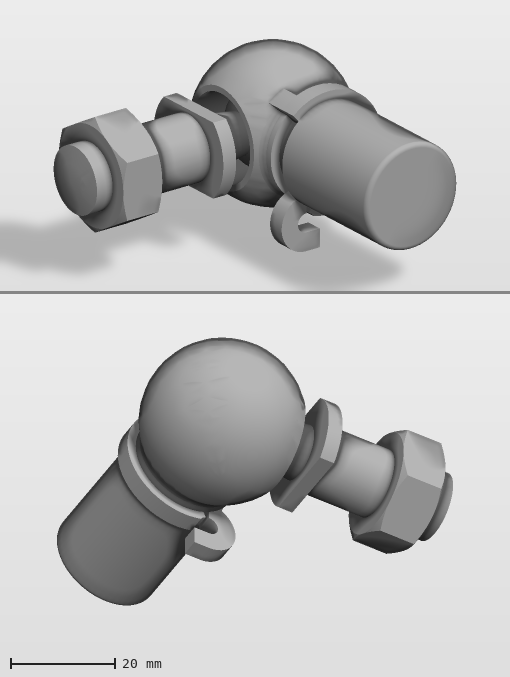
import cadquery as cq
import math

housing_radius = 16.15
mouth_y = -12.25
mouth_bore_radius = 9.3
ball_radius = 19.0 / 2
shank_radius = 22.0 / 2
shank_end_x = 44.95
shank_end_round = 0.95
neck_fillet = 2.25

groove_radius = 8.9
clip_start_x = 14.25
clip_width = 3.7
clip_radius = 12.8
clip_end_angle = 130.5
tab_start_angle = 112.0
tab_start_x = 9.9
eye_outer_radius = 5.9
eye_inner_radius = eye_outer_radius - (clip_radius - groove_radius)
eye_front_y = -11.15
eye_bottom_z = -19.2
eye_leg_end_y = -2.05

stud_radius = 14.0 / 2
stud_neck_radius = 5.7
stud_neck_taper = 0.145
flange_y = -17.0
flange_thickness = 3.1
flange_radius = 11.2
flange_flats = 15.85
stud_shoulder_y = -47.1
stud_tip_y = -48.0

nut_y = -34.05
nut_thickness = 9.3
nut_flats = 20.9
nut_chamfer_angle = 30.0


def cylinder_along_y(radius, start_y, length):
    """Solid cylinder running from start_y toward -Y."""
    return cq.Workplane("XZ", origin=(0, start_y, 0)).circle(radius).extrude(length)


def ring_sector(start_x, length, start_angle, end_angle):
    """Part of the clip's ring between two angles in degrees, extruded along +X."""
    def polar(radius, angle):
        angle = math.radians(angle)
        return radius * math.cos(angle), radius * math.sin(angle)

    middle_angle = (start_angle + end_angle) / 2
    return (
        cq.Workplane("YZ", origin=(start_x, 0, 0))
        .moveTo(*polar(clip_radius, start_angle))
        .threePointArc(polar(clip_radius, middle_angle), polar(clip_radius, end_angle))
        .lineTo(*polar(groove_radius, end_angle))
        .threePointArc(polar(groove_radius, middle_angle), polar(groove_radius, start_angle))
        .close()
        .extrude(length)
    )


def make_housing():
    shank = cq.Workplane("YZ").circle(shank_radius).extrude(shank_end_x)
    shank = shank.faces(">X").edges().fillet(shank_end_round)
    body = cq.Workplane("XY").sphere(housing_radius).union(shank)
    junction_x = math.sqrt(housing_radius**2 - shank_radius**2)
    near_junction = cq.selectors.BoxSelector(
        (junction_x - 0.65, -housing_radius, -housing_radius),
        (junction_x + 0.65, housing_radius, housing_radius),
    )
    body = body.edges(near_junction).edges("%CIRCLE").fillet(neck_fillet)

    beyond_mouth = cylinder_along_y(housing_radius, mouth_y, housing_radius)
    ball = cq.Workplane("XY").sphere(ball_radius)
    socket = cylinder_along_y(mouth_bore_radius, 0, -mouth_y).cut(ball)
    groove = (
        cq.Workplane("YZ", origin=(clip_start_x, 0, 0))
        .circle(clip_radius)
        .circle(groove_radius)
        .extrude(clip_width)
    )
    return body.cut(beyond_mouth).cut(socket).cut(groove)


def make_clip():
    eye_y = eye_front_y + eye_outer_radius
    eye_z = eye_bottom_z + eye_outer_radius
    eye_angle = math.degrees(math.atan2(eye_z, eye_y))

    clip_plane = cq.Workplane("YZ", origin=(clip_start_x, 0, 0))
    band = ring_sector(clip_start_x, clip_width, eye_angle, clip_end_angle)
    eye = (
        clip_plane.moveTo(eye_y, eye_z + eye_outer_radius)
        .threePointArc((eye_front_y, eye_z), (eye_y, eye_bottom_z))
        .lineTo(eye_leg_end_y, eye_bottom_z)
        .lineTo(eye_leg_end_y, eye_z - eye_inner_radius)
        .lineTo(eye_y, eye_z - eye_inner_radius)
        .close()
        .extrude(clip_width)
    )
    eye_hole = clip_plane.center(eye_y, eye_z).circle(eye_inner_radius).extrude(clip_width)
    tab = ring_sector(tab_start_x, clip_start_x - tab_start_x, tab_start_angle, clip_end_angle)
    return band.union(eye).cut(eye_hole).union(tab)


def make_stud():
    root_radius = stud_neck_radius + stud_neck_taper * flange_y
    dome_height = stud_shoulder_y - stud_tip_y
    dome_radius = (stud_radius**2 + dome_height**2) / (2 * dome_height)
    dome_mid_x = stud_radius / 2
    dome_mid_y = stud_tip_y + dome_radius - math.sqrt(dome_radius**2 - dome_mid_x**2)
    shaft = (
        cq.Workplane("XY")
        .moveTo(0, 0)
        .lineTo(root_radius, 0)
        .lineTo(stud_neck_radius, flange_y)
        .lineTo(stud_radius, flange_y)
        .lineTo(stud_radius, stud_shoulder_y)
        .threePointArc((dome_mid_x, dome_mid_y), (0, stud_tip_y))
        .close()
        .revolve(360, (0, 0, 0), (0, 1, 0))
    )
    flats = (
        cq.Workplane("XZ", origin=(0, flange_y, 0))
        .rect(2 * flange_radius, flange_flats)
        .extrude(flange_thickness)
    )
    flange = cylinder_along_y(flange_radius, flange_y, flange_thickness).intersect(flats)
    return shaft.union(flange)


def make_nut():
    corner_radius = nut_flats / 2 / math.cos(math.pi / 6)
    face_radius = nut_flats / 2
    chamfer_depth = (corner_radius - face_radius) * math.tan(math.radians(nut_chamfer_angle))
    hexagon = (
        cq.Workplane("XZ", origin=(0, nut_y, 0))
        .transformed(rotate=(0, 0, 30))
        .polygon(6, 2 * corner_radius)
        .extrude(nut_thickness)
    )
    nut_end_y = nut_y - nut_thickness
    envelope = (
        cq.Workplane("XY")
        .polyline([
            (0, nut_y),
            (face_radius, nut_y),
            (corner_radius, nut_y - chamfer_depth),
            (corner_radius, nut_end_y + chamfer_depth),
            (face_radius, nut_end_y),
            (0, nut_end_y),
        ])
        .close()
        .revolve(360, (0, 0, 0), (0, 1, 0))
    )
    return hexagon.intersect(envelope)


result = make_housing().union(make_clip()).union(make_stud()).union(make_nut())